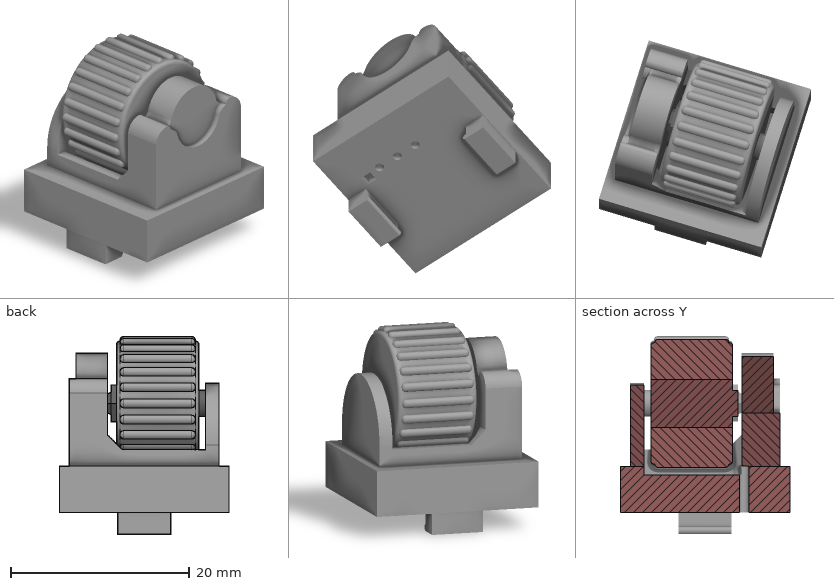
import cadquery as cq
import math

BASE_SIDE = 19.05
BASE_BOTTOM_Z = 2.45
BASE_TOP_Z = 7.65
CLIP_WIDTH = 6.0
CLIP_OUTER_Y = 9.45
CLIP_INNER_Y = 7.01
HOOK_TIP_Y = 6.61
HOOK_FOOT_Y = 6.85
HOOK_TIP_Z = 0.4
HOOK_TOP_Z = 0.82
TERMINAL_HOLE_DIAMETER = 1.0
TERMINAL_HOLE_X = 4.37
TERMINAL_HOLE_MIDDLE_Y = -1.55
TERMINAL_PITCH = 2.5
PEG_HOLE_SIDE = 1.1
PEG_HOLE_MIN_X = 3.35
PEG_HOLE_MAX_Y = -5.33

FRAME_HALF_WIDTH = 6.92
FRAME_MIN_X = -8.39
FRAME_MAX_X = 8.4
CHEEK_INNER_X = -6.85
CHEEK_ARC_CENTER_Z = 10.03
POST_INNER_X = 4.1
FLOOR_TOP_Z = 9.5
POST_CHAMFER = 1.65

WELL_HALF_WIDTH = 5.8
WELL_CORNER_CUT = 0.89
WELL_FLOOR_Z = 6.65

SHOULDER_START_Z = 15.85
SHOULDER_TIP_Y = 5.05
SHOULDER_TIP_Z = 17.46
SHOULDER_RADIUS = 1.86
TIP_INNER_RADIUS = 0.62
LEDGE_Y = 4.53
LEDGE_Z = 16.78
LIP_RADIUS = 1.29
TROUGH_RADIUS = 3.57
TROUGH_CENTER_Z = 16.82
TROUGH_EDGE_Y = 3.42
TROUGH_EDGE_Z = TROUGH_CENTER_Z - math.sqrt(TROUGH_RADIUS**2 - TROUGH_EDGE_Y**2)
TROUGH_BOTTOM_Z = TROUGH_CENTER_Z - TROUGH_RADIUS

ENCODER_MAX_X = 7.68
CROWN_RADIUS = 3.8
CROWN_TOP_Z = 20.3
CROWN_CENTER_Z = CROWN_TOP_Z - CROWN_RADIUS
CROWN_EDGE_Y = 3.68
CROWN_EDGE_Z = CROWN_CENTER_Z + math.sqrt(CROWN_RADIUS**2 - CROWN_EDGE_Y**2)
FOOT_RADIUS = 1.15

TOP_Z = 22.2
RIB_COUNT = 24
RIB_DIAMETER = 1.0
RIB_RADIUS = RIB_DIAMETER / 2
RIB_END_ROUND = 0.4
WHEEL_RADIUS = 7.01
WHEEL_MIN_X = -6.12
WHEEL_MAX_X = 3.1
WHEEL_EDGE_ROUND = 0.4
AXIS_Z = TOP_Z - WHEEL_RADIUS - RIB_RADIUS

JOURNAL_DIAMETER = 3.0
HUB_DIAMETER = 6.15
HEX_FLATS = 4.17
HEX_END_X = 3.7
TIP_FLATS = 2.53
TIP_TAPER_ANGLE = 26


def hexagon_corner_diameter(flats):
    return flats / math.cos(math.radians(30))


def axis_plane(x):
    """Plane facing +X with its origin on the wheel axis."""
    return cq.Workplane("YZ", origin=(x, 0, AXIS_Z))


def mirrored(half):
    """Complete a half that lies on the +Y side of the XZ plane."""
    return half.union(half.mirror("XZ")).clean()


def wheel_well():
    length = POST_INNER_X - CHEEK_INNER_X
    middle_x = (POST_INNER_X + CHEEK_INNER_X) / 2
    return (
        cq.Workplane("XY", origin=(middle_x, 0, WELL_FLOOR_Z))
        .rect(length, 2 * WELL_HALF_WIDTH)
        .extrude(TOP_Z - WELL_FLOOR_Z)
        .edges("|Z and >X")
        .chamfer(WELL_CORNER_CUT)
    )


def make_clip():
    return (
        cq.Workplane("YZ", origin=(-CLIP_WIDTH / 2, 0, 0))
        .moveTo(CLIP_OUTER_Y, BASE_BOTTOM_Z)
        .lineTo(CLIP_OUTER_Y, 0)
        .lineTo(HOOK_FOOT_Y, 0)
        .threePointArc((HOOK_TIP_Y, HOOK_TIP_Z), (CLIP_INNER_Y, HOOK_TOP_Z))
        .lineTo(CLIP_INNER_Y, BASE_BOTTOM_Z)
        .close()
        .extrude(CLIP_WIDTH)
    )


def make_base():
    height = BASE_TOP_Z - BASE_BOTTOM_Z
    block = cq.Workplane("XY", origin=(0, 0, BASE_BOTTOM_Z)).rect(BASE_SIDE, BASE_SIDE).extrude(height)

    hole_plane = cq.Workplane("XY", origin=(0, 0, BASE_BOTTOM_Z))
    hole_places = [
        (TERMINAL_HOLE_X, TERMINAL_HOLE_MIDDLE_Y + step * TERMINAL_PITCH) for step in (-1, 0, 1)
    ]
    terminal_holes = hole_plane.pushPoints(hole_places).circle(TERMINAL_HOLE_DIAMETER / 2).extrude(height)
    peg_hole = (
        hole_plane.center(PEG_HOLE_MIN_X + PEG_HOLE_SIDE / 2, PEG_HOLE_MAX_Y - PEG_HOLE_SIDE / 2)
        .rect(PEG_HOLE_SIDE, PEG_HOLE_SIDE)
        .extrude(height)
    )
    block = block.cut(wheel_well()).cut(terminal_holes).cut(peg_hole)

    clip = make_clip()
    return block.union(clip).union(clip.mirror("XZ"))


def make_cheek():
    return (
        cq.Workplane("YZ", origin=(FRAME_MIN_X, 0, 0))
        .moveTo(-FRAME_HALF_WIDTH, BASE_TOP_Z)
        .lineTo(FRAME_HALF_WIDTH, BASE_TOP_Z)
        .lineTo(FRAME_HALF_WIDTH, CHEEK_ARC_CENTER_Z)
        .threePointArc(
            (0, CHEEK_ARC_CENTER_Z + FRAME_HALF_WIDTH), (-FRAME_HALF_WIDTH, CHEEK_ARC_CENTER_Z)
        )
        .close()
        .extrude(CHEEK_INNER_X - FRAME_MIN_X)
    )


def add_trough_half(outline):
    """Continue an outline from the ledge over the rounded lip to the bottom of the trough."""
    return outline.radiusArc((TROUGH_EDGE_Y, TROUGH_EDGE_Z), -LIP_RADIUS).radiusArc(
        (0, TROUGH_BOTTOM_Z), TROUGH_RADIUS
    )


def make_post():
    outline = (
        cq.Workplane("YZ", origin=(POST_INNER_X, 0, 0))
        .moveTo(0, BASE_TOP_Z)
        .lineTo(FRAME_HALF_WIDTH, BASE_TOP_Z)
        .lineTo(FRAME_HALF_WIDTH, SHOULDER_START_Z)
        .radiusArc((SHOULDER_TIP_Y, SHOULDER_TIP_Z), -SHOULDER_RADIUS)
        .radiusArc((LEDGE_Y, LEDGE_Z), -TIP_INNER_RADIUS)
    )
    return mirrored(add_trough_half(outline).close().extrude(FRAME_MAX_X - POST_INNER_X))


def make_floor():
    """Floor between cheek and post, with the sloped corner at the post."""
    return (
        cq.Workplane("XZ", origin=(0, FRAME_HALF_WIDTH, 0))
        .moveTo(CHEEK_INNER_X, BASE_TOP_Z)
        .lineTo(POST_INNER_X, BASE_TOP_Z)
        .lineTo(POST_INNER_X, FLOOR_TOP_Z + POST_CHAMFER)
        .lineTo(POST_INNER_X - POST_CHAMFER, FLOOR_TOP_Z)
        .lineTo(CHEEK_INNER_X, FLOOR_TOP_Z)
        .close()
        .extrude(2 * FRAME_HALF_WIDTH)
    )


def make_frame():
    return make_floor().cut(wheel_well()).union(make_cheek()).union(make_post())


def make_encoder():
    outline = cq.Workplane("YZ", origin=(POST_INNER_X, 0, 0)).moveTo(LEDGE_Y, LEDGE_Z)
    half = (
        add_trough_half(outline)
        .lineTo(0, CROWN_TOP_Z)
        .radiusArc((CROWN_EDGE_Y, CROWN_EDGE_Z), CROWN_RADIUS)
        .radiusArc((LEDGE_Y, LEDGE_Z), -FOOT_RADIUS)
        .close()
        .extrude(ENCODER_MAX_X - POST_INNER_X)
    )
    return mirrored(half)


def make_rib():
    """Topmost rib: a rod with rounded ends, half sunk in the rim."""
    start_x = WHEEL_MIN_X + WHEEL_EDGE_ROUND
    length = WHEEL_MAX_X - WHEEL_MIN_X - 2 * WHEEL_EDGE_ROUND
    return (
        axis_plane(start_x)
        .center(0, WHEEL_RADIUS)
        .circle(RIB_RADIUS)
        .extrude(length)
        .edges()
        .fillet(RIB_END_ROUND)
    )


def make_wheel():
    wheel = (
        axis_plane(WHEEL_MIN_X)
        .circle(WHEEL_RADIUS)
        .extrude(WHEEL_MAX_X - WHEEL_MIN_X)
        .edges()
        .fillet(WHEEL_EDGE_ROUND)
    )
    rib = make_rib()
    for index in range(RIB_COUNT):
        angle = index * 360 / RIB_COUNT
        wheel = wheel.union(rib.rotate((0, 0, AXIS_Z), (1, 0, AXIS_Z), angle))
    bore = axis_plane(WHEEL_MIN_X).circle(HUB_DIAMETER / 2).extrude(WHEEL_MAX_X - WHEEL_MIN_X)
    return wheel.cut(bore)


def make_spindle():
    journal = axis_plane(CHEEK_INNER_X).circle(JOURNAL_DIAMETER / 2).extrude(WHEEL_MIN_X - CHEEK_INNER_X)
    hub = axis_plane(WHEEL_MIN_X).circle(HUB_DIAMETER / 2).extrude(WHEEL_MAX_X - WHEEL_MIN_X)
    drive = (
        axis_plane(WHEEL_MAX_X)
        .polygon(6, hexagon_corner_diameter(HEX_FLATS))
        .extrude(HEX_END_X - WHEEL_MAX_X)
    )
    tip = (
        axis_plane(HEX_END_X)
        .polygon(6, hexagon_corner_diameter(TIP_FLATS))
        .extrude(POST_INNER_X - HEX_END_X, taper=TIP_TAPER_ANGLE)
    )
    return journal.union(hub).union(drive).union(tip)


base = make_base()
frame = make_frame()
encoder = make_encoder()
wheel = make_wheel()
spindle = make_spindle()

result = cq.Compound.makeCompound(
    [base.val(), frame.val(), encoder.val(), wheel.val(), spindle.val()]
)